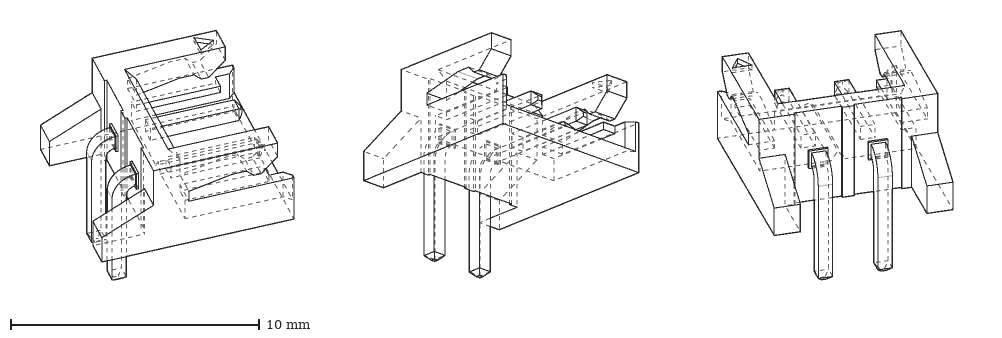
import cadquery as cq


WIDTH = 7.5
LENGTH = 8.2
HEIGHT = 4.18
HALF_WIDTH = WIDTH / 2

REAR_Y = 2.205
WALL_FRONT_Y = 3.715
FOOT_WIDTH = 1.1
FOOT_TIP_HEIGHT = 1.28
FOOT_ROOT_HEIGHT = 2.38
FOOT_INNER_X = HALF_WIDTH - FOOT_WIDTH

SIDE_HEIGHT = 2.17
FLOOR_HEIGHT = 0.88
CAVITY_HALF_WIDTH = 3.27
CAVITY_CORNER = 0.3
LEDGE_HEIGHT = 0.33
LEDGE_FRONT_Y = 7.3

ARM_FRONT_Y = 7.5
ARM_NOSE_Z = 3.48
HOOK_Z = 2.77
HOOK_BACK_Y = 6.48
ARM_UNDER_Z = 3.075
ARM_FLAT_BACK_Y = 5.54
ARM_ROOT_Z = 2.69

LEAD_IN_DEPTH = 0.51
LEAD_IN_DROP = 0.66

RECESS_DEPTH = 0.1
RECESS_OUTER_X = 2.25
RECESS_INNER_X = 0.255

PITCH = 2.5
PIN_SIZE = 0.61
PIN_TAPER = 0.205
PIN_TOP_Z = 2.27
PIN_FRONT_Y = 7.7
PIN_BOTTOM_Z = -3.215
BEND_RADIUS = 1.0
PIN_XS = (-PITCH / 2, PITCH / 2)
COLLAR_SIZE = 0.81

RIB_HALF_WIDTH = 0.29
RIB_HEIGHT = 0.41

MARK_WIDTH = 0.82
MARK_BASE_Y = 6.51
MARK_TIP_Y = 7.18
MARK_DEPTH = 0.22


def box(x_range, y_range, z_range):
    """Axis-aligned block spanning the given ranges."""
    size = [high - low for low, high in (x_range, y_range, z_range)]
    corner = (x_range[0], y_range[0], z_range[0])
    return cq.Workplane("XY").box(*size, centered=False).translate(corner)


def make_housing():
    """Side outline with feet and latch arms, opened up by the cavity."""
    hook_front_y = ARM_FRONT_Y - (ARM_NOSE_Z - HOOK_Z)
    hook_rise = ARM_UNDER_Z - HOOK_Z
    outline = [
        (0, 0),
        (LENGTH, 0),
        (LENGTH, SIDE_HEIGHT),
        (WALL_FRONT_Y, SIDE_HEIGHT),
        (WALL_FRONT_Y, ARM_ROOT_Z),
        (ARM_FLAT_BACK_Y, ARM_UNDER_Z),
        (HOOK_BACK_Y - hook_rise, ARM_UNDER_Z),
        (HOOK_BACK_Y, HOOK_Z),
        (hook_front_y, HOOK_Z),
        (ARM_FRONT_Y, ARM_NOSE_Z),
        (ARM_FRONT_Y, HEIGHT),
        (REAR_Y, HEIGHT),
        (REAR_Y, FOOT_ROOT_HEIGHT),
        (0, FOOT_TIP_HEIGHT),
    ]
    housing = cq.Workplane("YZ").polyline(outline).close().extrude(HALF_WIDTH, both=True)

    between_arms = (-FOOT_INNER_X, FOOT_INNER_X)
    between_walls = (-CAVITY_HALF_WIDTH, CAVITY_HALF_WIDTH)
    ledge_bottom = SIDE_HEIGHT - LEDGE_HEIGHT
    foot_gap = box(between_arms, (0, REAR_Y), (0, HEIGHT))
    opening = box(between_arms, (WALL_FRONT_Y, LENGTH), (FLOOR_HEIGHT, HEIGHT))
    undercut = box(between_walls, (WALL_FRONT_Y, LENGTH), (FLOOR_HEIGHT, ledge_bottom))
    mouth = box(between_walls, (LEDGE_FRONT_Y, LENGTH), (FLOOR_HEIGHT, SIDE_HEIGHT))
    return housing.cut(foot_gap).cut(opening).cut(undercut).cut(mouth)


def make_mouth_flare():
    """Wedge that bevels the front inner corners of both side walls."""
    flared_half_width = CAVITY_HALF_WIDTH + CAVITY_CORNER
    return (
        cq.Workplane("XY", origin=(0, 0, FLOOR_HEIGHT))
        .moveTo(-CAVITY_HALF_WIDTH, LENGTH - CAVITY_CORNER)
        .lineTo(CAVITY_HALF_WIDTH, LENGTH - CAVITY_CORNER)
        .lineTo(flared_half_width, LENGTH)
        .lineTo(-flared_half_width, LENGTH)
        .close()
        .extrude(SIDE_HEIGHT - FLOOR_HEIGHT)
    )


def make_lead_in():
    """Sloped top edge of the rear wall, between the arms."""
    return (
        cq.Workplane("YZ")
        .moveTo(WALL_FRONT_Y, HEIGHT)
        .lineTo(WALL_FRONT_Y - LEAD_IN_DEPTH, HEIGHT)
        .lineTo(WALL_FRONT_Y, HEIGHT - LEAD_IN_DROP)
        .close()
        .extrude(FOOT_INNER_X, both=True)
    )


def make_rear_recess(pin_side):
    """Shallow full-height recess around one pin; pin_side is -1 or 1."""
    x_range = sorted((pin_side * RECESS_INNER_X, pin_side * RECESS_OUTER_X))
    return box(x_range, (REAR_Y, REAR_Y + RECESS_DEPTH), (0, HEIGHT))


def make_rib():
    """Ridge along the cavity floor with a 45 degree front end."""
    ridge = (
        cq.Workplane("XZ", origin=(0, LENGTH, 0))
        .moveTo(-RIB_HALF_WIDTH, FLOOR_HEIGHT)
        .lineTo(RIB_HALF_WIDTH, FLOOR_HEIGHT)
        .lineTo(0, FLOOR_HEIGHT + RIB_HEIGHT)
        .close()
        .extrude(LENGTH - WALL_FRONT_Y)
    )
    front_end = (
        cq.Workplane("YZ")
        .moveTo(LENGTH, FLOOR_HEIGHT)
        .lineTo(LENGTH, FLOOR_HEIGHT + RIB_HEIGHT)
        .lineTo(LENGTH - RIB_HEIGHT, FLOOR_HEIGHT + RIB_HEIGHT)
        .close()
        .extrude(RIB_HALF_WIDTH, both=True)
    )
    return ridge.cut(front_end)


def make_mark():
    """Triangular pocket in the top of the arm beside the first pin."""
    mark_x = -(HALF_WIDTH + FOOT_INNER_X) / 2
    return (
        cq.Workplane("XY", origin=(mark_x, 0, HEIGHT - MARK_DEPTH))
        .moveTo(-MARK_WIDTH / 2, MARK_BASE_Y)
        .lineTo(MARK_WIDTH / 2, MARK_BASE_Y)
        .lineTo(0, MARK_TIP_Y)
        .close()
        .extrude(MARK_DEPTH)
    )


def make_collar(pin_x):
    """Square pad around a pin, filling the recess out to the rear face."""
    half = COLLAR_SIZE / 2
    pin_z = PIN_TOP_Z - PIN_SIZE / 2
    return box(
        (pin_x - half, pin_x + half),
        (REAR_Y, REAR_Y + RECESS_DEPTH),
        (pin_z - half, pin_z + half),
    )


def make_pin(pin_x):
    """Square pin bent down behind the rear wall, with both ends tapered."""
    inner_radius = BEND_RADIUS - PIN_SIZE
    bend_z = PIN_TOP_Z - BEND_RADIUS
    rear_y = REAR_Y - BEND_RADIUS
    pin = (
        cq.Workplane("YZ", origin=(pin_x, 0, 0))
        .moveTo(PIN_FRONT_Y, PIN_TOP_Z)
        .lineTo(REAR_Y, PIN_TOP_Z)
        .radiusArc((rear_y, bend_z), -BEND_RADIUS)
        .lineTo(rear_y, PIN_BOTTOM_Z)
        .lineTo(rear_y + PIN_SIZE, PIN_BOTTOM_Z)
        .lineTo(rear_y + PIN_SIZE, bend_z)
        .radiusArc((REAR_Y, PIN_TOP_Z - PIN_SIZE), inner_radius)
        .lineTo(PIN_FRONT_Y, PIN_TOP_Z - PIN_SIZE)
        .close()
        .extrude(PIN_SIZE / 2, both=True)
    )
    return pin.faces("<Z or >Y").chamfer(PIN_TAPER)


result = make_housing().cut(make_mouth_flare()).cut(make_lead_in()).cut(make_mark())
for side in (-1, 1):
    result = result.cut(make_rear_recess(side))
result = result.union(make_rib())
for x in PIN_XS:
    result = result.union(make_collar(x)).union(make_pin(x))